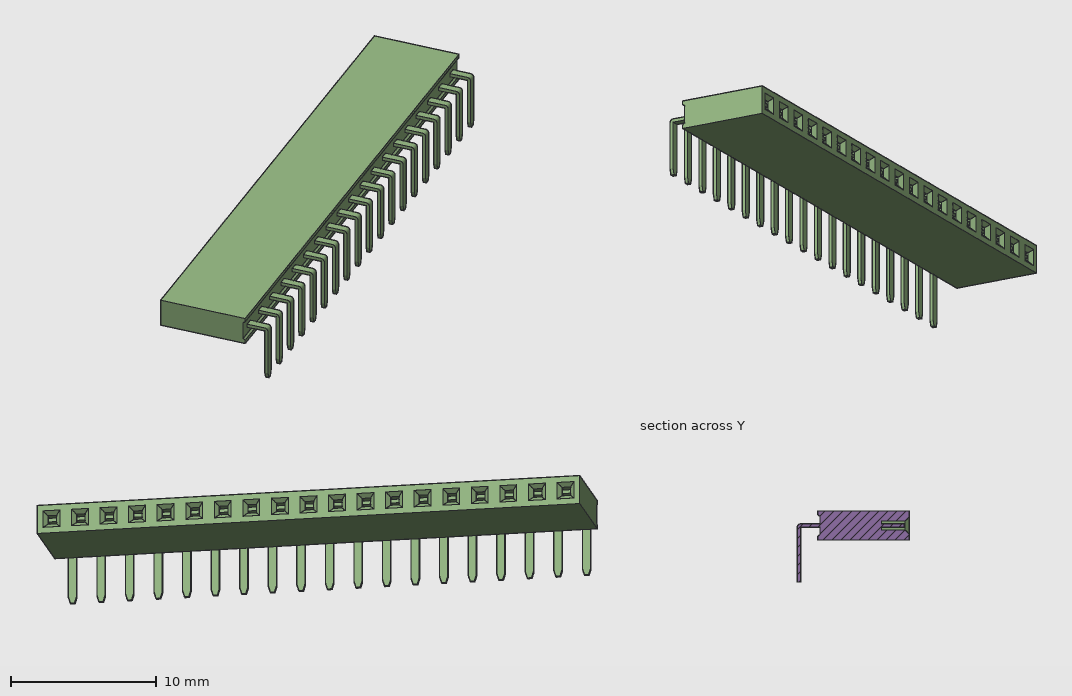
import cadquery as cq

body_length = 38.0
body_depth = 6.3
body_height = 2.0

pin_count = 19
pitch = body_length / pin_count
pin_width = 0.57
pin_thickness = 0.25
overall_depth = 7.7
overall_height = 4.9
tip_length = 0.4
bend_radius = 0.25
tip_width = 0.3

mouth_size = 1.18
throat_size = 0.6
socket_depth = 1.9
pin_setback = 0.35

recess_depth = 0.15
recess_rim = 0.25
recess_slope = 0.1

body_top = body_height / 2
pin_bottom = body_top - overall_height
leg_inner_x = overall_depth - pin_thickness
funnel_depth = (mouth_size - throat_size) / 2
pin_half = pin_thickness / 2
pin_places = [(i - (pin_count - 1) / 2) * pitch for i in range(pin_count)]


def make_housing():
    """Bar with a shallow, slope-sided recess along its whole +X face."""
    lip = body_top - recess_rim
    floor = lip - recess_slope
    recess_x = body_depth - recess_depth
    outline = [
        (0, -body_top),
        (body_depth, -body_top),
        (body_depth, -lip),
        (recess_x, -floor),
        (recess_x, floor),
        (body_depth, lip),
        (body_depth, body_top),
        (0, body_top),
    ]
    return cq.Workplane("XZ").polyline(outline).close().extrude(body_length / 2, both=True)


def make_socket(y):
    """Square funnel narrowing to a straight square hole, open at x = 0."""
    funnel = (
        cq.Workplane("YZ", origin=(0, y, 0))
        .rect(mouth_size, mouth_size)
        .workplane(offset=funnel_depth)
        .rect(throat_size, throat_size)
        .loft(ruled=True)
    )
    hole = cq.Workplane("YZ", origin=(0, y, 0)).rect(throat_size, throat_size).extrude(socket_depth)
    return funnel.union(hole)


def make_pin(y):
    """Flat strip bent down at a right angle, with its lower end tapered."""
    strip = (
        cq.Workplane("XZ", origin=(0, y, 0))
        .moveTo(pin_setback, pin_half)
        .lineTo(overall_depth - bend_radius, pin_half)
        .radiusArc((overall_depth, pin_half - bend_radius), bend_radius)
        .lineTo(overall_depth, pin_bottom)
        .lineTo(leg_inner_x, pin_bottom)
        .lineTo(leg_inner_x, -pin_half)
        .lineTo(pin_setback, -pin_half)
        .close()
        .extrude(pin_width / 2, both=True)
    )
    half_width = pin_width / 2
    half_tip = tip_width / 2
    tip_top = pin_bottom + tip_length
    tapered_outline = [
        (y - half_width, body_top),
        (y - half_width, tip_top),
        (y - half_tip, pin_bottom),
        (y + half_tip, pin_bottom),
        (y + half_width, tip_top),
        (y + half_width, body_top),
    ]
    envelope = cq.Workplane("YZ").polyline(tapered_outline).close().extrude(overall_depth)
    return strip.intersect(envelope)


result = make_housing()
for place in pin_places:
    result = result.cut(make_socket(place))
for place in pin_places:
    result = result.union(make_pin(place))